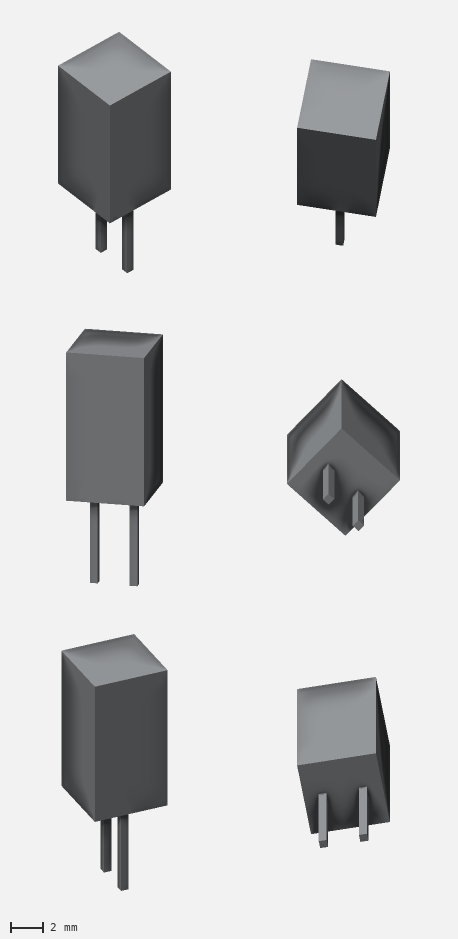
import cadquery as cq

total_height = 15.7
body_width = 5.0
lead_length = 6.0
lead_thickness = 0.5
lead_pitch = 2.55

body_height = total_height - lead_length


def make_body():
    """Plain rectangular block standing on the XY plane."""
    return cq.Workplane("XY").box(
        body_width, body_width, body_height, centered=(True, True, False)
    )


def make_lead(x_center):
    """Square lead hanging from the underside of the body."""
    return (
        cq.Workplane("XY")
        .center(x_center, 0)
        .rect(lead_thickness, lead_thickness)
        .extrude(-lead_length)
    )


body = make_body()
leads = [make_lead(side * lead_pitch / 2) for side in (-1, 1)]

result = cq.Compound.makeCompound([body.val(), *[lead.val() for lead in leads]])